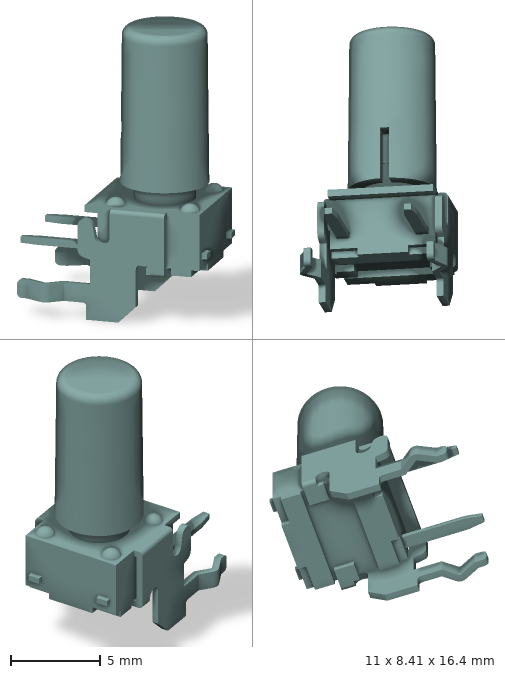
import cadquery as cq
import math


body_half = 3.0
body_bottom = 3.24
foot_bottom = 2.85
foot_inner_x = 1.33
foot_outer_x = 2.5
foot_tongue_half = 1.45

sheet = 0.4
cover_top = 6.5
cover_bottom = cover_top - sheet
cover_overhang = 0.77
wall_outer_y = 3.55
wall_inner_y = wall_outer_y - sheet
wall_left_x = -2.1
wall_right_x = 1.09
bend_radius = 0.23

leg_left_x = -3.49
leg_right_x = -0.58
leg_chamfer_x = 1.02
leg_chamfer_z = 0.99
neck_left_x = -3.27
neck_top_z = 3.52
finger_left_x = -4.0
finger_width = 0.89
finger_radius = 0.4
finger_top_z = 5.84
shoulder_radius = 0.45
shoulder_slope = math.radians(17)
notch_radius = 0.45
notch_bottom_z = 4.47
relief_radius = 0.43
relief_top_z = 3.54

arm_top_z = 2.04
arm_bottom_z = 0.99
arm_tip_x = -7.52
arm_tip_radius = 0.28
arm_root_radius = 0.2
arm_tip_bend = (-6.95, 3.7)
arm_peak = (-5.72, 4.3)
arm_start_x = -4.8
arm_peak_radius = 0.53

tab_left_x = -0.08
tab_inner_y = 2.15
tab_bottom = 2.81

bump_radius = 0.56
bump_height = 0.4
bump_offset = 2.19

pin_width = 0.7
pin_bottom = 3.83
pin_thickness = 0.35
pin_y = 2.25
pin_left_x = -7.7
pin_right_x = 3.3
pin_taper = 1.0
pin_tip_width = 0.41

stem_diameter = 3.5
stem_shoulder = 7.32
stem_fillet = 0.1
shaft_diameter = 3.29
shaft_top = 8.52
cap_diameter = 5.0
cap_top_diameter = 4.8
cap_bottom = stem_shoulder + stem_fillet
cap_top = 16.45
cap_fillet = 0.5
slot_width = 0.51
slot_top = 10.4
slot_back_x = -1.71
slot_top_radius = 0.55


def box(x0, x1, y0, y1, z0, z1):
    """Box between two limits on each axis."""
    return cq.Workplane("XY").box(x1 - x0, y1 - y0, z1 - z0, centered=False).translate((x0, y0, z0))


def symmetric_box(x0, x1, half_y, z0, z1):
    """Box centred on the XZ plane."""
    return box(x0, x1, -half_y, half_y, z0, z1)


def offset_path(points, distance):
    """Path parallel to an open path, on its left side, with mitred corners."""
    angles = [math.atan2(b[1] - a[1], b[0] - a[0]) for a, b in zip(points, points[1:])]
    before = angles[:1] + angles
    after = angles + angles[-1:]
    moved = []
    for (x, y), first, second in zip(points, before, after):
        normal = (first + second) / 2 + math.pi / 2
        reach = distance / math.cos((second - first) / 2)
        moved.append((x + reach * math.cos(normal), y + reach * math.sin(normal)))
    return moved


def make_body():
    body = symmetric_box(-body_half, body_half, body_half, body_bottom, cover_bottom)
    for side in (0, 180):
        bar = symmetric_box(foot_inner_x, foot_outer_x, body_half, foot_bottom, body_bottom)
        tongue = symmetric_box(foot_outer_x, body_half, foot_tongue_half, foot_bottom, body_bottom)
        body = body.union(bar.union(tongue).rotate((0, 0, 0), (0, 0, 1), side))
    return body


def make_cover():
    cover = symmetric_box(-body_half - cover_overhang, body_half, body_half, cover_bottom, cover_top)
    dome_radius = (bump_radius**2 + bump_height**2) / (2 * bump_height)
    dome_z = cover_top + bump_height - dome_radius
    for x in (-bump_offset, bump_offset):
        for y in (-bump_offset, bump_offset):
            cover = cover.union(cq.Workplane("XY").sphere(dome_radius).translate((x, y, dome_z))
                                .intersect(box(x - bump_radius, x + bump_radius,
                                               y - bump_radius, y + bump_radius,
                                               cover_bottom, cover_top + bump_height)))
    return cover


def wall_outline():
    """Wall, leg and arm outline in the XZ plane, solid from Y = 0 to beyond the arm peak."""
    finger_right_x = finger_left_x + finger_width
    finger_z = finger_top_z - finger_radius
    notch_x = wall_left_x - notch_radius
    notch_z = notch_bottom_z + notch_radius
    relief_x = leg_right_x + relief_radius
    relief_z = relief_top_z - relief_radius

    shoulder_z = neck_top_z + (neck_left_x - finger_left_x) * math.tan(shoulder_slope)
    turn = math.pi / 2 - shoulder_slope
    shoulder_run = shoulder_radius * math.tan(turn / 2)
    shoulder_end = (finger_left_x + shoulder_run * math.cos(shoulder_slope),
                    shoulder_z - shoulder_run * math.sin(shoulder_slope))

    return (
        cq.Workplane("XZ")
        .moveTo(wall_left_x, cover_top)
        .lineTo(wall_left_x, notch_z)
        .threePointArc((notch_x, notch_bottom_z), (notch_x - notch_radius, notch_z))
        .lineTo(finger_right_x, finger_z)
        .tangentArcPoint((finger_right_x - finger_radius, finger_top_z), relative=False)
        .lineTo(finger_left_x + finger_radius, finger_top_z)
        .tangentArcPoint((finger_left_x, finger_z), relative=False)
        .lineTo(finger_left_x, shoulder_z + shoulder_run)
        .tangentArcPoint(shoulder_end, relative=False)
        .lineTo(neck_left_x, neck_top_z)
        .lineTo(neck_left_x, arm_top_z)
        .lineTo(arm_tip_x + arm_tip_radius, arm_top_z)
        .tangentArcPoint((arm_tip_x, arm_top_z - arm_tip_radius), relative=False)
        .lineTo(arm_tip_x, arm_bottom_z + arm_tip_radius)
        .tangentArcPoint((arm_tip_x + arm_tip_radius, arm_bottom_z), relative=False)
        .lineTo(leg_left_x - arm_root_radius, arm_bottom_z)
        .tangentArcPoint((leg_left_x, arm_bottom_z - arm_root_radius), relative=False)
        .lineTo(leg_left_x, 0)
        .lineTo(leg_right_x - leg_chamfer_x, 0)
        .lineTo(leg_right_x, leg_chamfer_z)
        .lineTo(leg_right_x, relief_z)
        .threePointArc((relief_x, relief_top_z), (relief_x + relief_radius, relief_z))
        .lineTo(relief_x + relief_radius, tab_bottom)
        .lineTo(wall_right_x, tab_bottom)
        .lineTo(wall_right_x, cover_top)
        .close()
        .extrude(-arm_peak[1])
    )


def wall_plan():
    """Plan of the sheet: straight along the wall, then bent out and back along the arm."""
    outer = [
        (wall_right_x, wall_outer_y),
        (arm_start_x, wall_outer_y),
        arm_peak,
        arm_tip_bend,
        (arm_tip_x, arm_tip_bend[1]),
    ]
    inner = offset_path(outer, sheet)
    sheet_plan = cq.Workplane("XY").polyline(outer + inner[::-1]).close().extrude(cover_top)

    middle_z = cover_top / 2
    outer_peak = cq.selectors.NearestToPointSelector((*arm_peak, middle_z))
    inner_peak = cq.selectors.NearestToPointSelector((*inner[outer.index(arm_peak)], middle_z))
    sheet_plan = sheet_plan.edges("|Z").edges(outer_peak).fillet(arm_peak_radius)
    return sheet_plan.edges("|Z").edges(inner_peak).fillet(arm_peak_radius - sheet)


def make_bracket_side():
    """Bracket half on the +Y side, with its folds to the cover and to the tab."""
    wall = wall_outline().intersect(wall_plan())
    top_fold = box(wall_left_x, wall_right_x, body_half, wall_outer_y, cover_bottom, cover_top)
    tab = box(tab_left_x, wall_right_x, tab_inner_y, wall_inner_y, tab_bottom, tab_bottom + sheet)
    side = wall.union(top_fold).union(tab)
    for z in (cover_top, tab_bottom):
        fold_edge = cq.selectors.NearestToPointSelector((wall_right_x, wall_outer_y, z))
        side = side.edges("|X").edges(fold_edge).fillet(bend_radius)
    return side


def make_pin(y):
    taper_x = pin_left_x + pin_taper
    outline = [
        (pin_right_x, pin_width / 2),
        (taper_x, pin_width / 2),
        (pin_left_x, pin_tip_width / 2),
        (pin_left_x, -pin_tip_width / 2),
        (taper_x, -pin_width / 2),
        (pin_right_x, -pin_width / 2),
    ]
    pin = cq.Workplane("XY").polyline(outline).close().extrude(pin_thickness)
    return pin.translate((0, y, pin_bottom))


def make_button():
    cap = (
        cq.Workplane("XZ")
        .moveTo(0, cap_bottom)
        .lineTo(cap_diameter / 2, cap_bottom)
        .lineTo(cap_top_diameter / 2, cap_top)
        .lineTo(0, cap_top)
        .close()
        .revolve(360, (0, 0, 0), (0, 1, 0))
        .faces(">Z").edges().fillet(cap_fillet)
    )
    slot = (
        cq.Workplane("XZ")
        .moveTo(-cap_diameter, cap_bottom)
        .lineTo(slot_back_x, cap_bottom)
        .lineTo(slot_back_x, slot_top - slot_top_radius)
        .tangentArcPoint((slot_back_x + slot_top_radius, slot_top), relative=False)
        .lineTo(-cap_diameter, slot_top)
        .close()
        .extrude(slot_width / 2, both=True)
    )
    slot = slot.union(symmetric_box(-cap_diameter, 0, slot_width / 2, cap_bottom, shaft_top))
    shaft_radius = shaft_diameter / 2
    stem = (
        cq.Workplane("XZ")
        .moveTo(0, cover_bottom)
        .lineTo(stem_diameter / 2, cover_bottom)
        .lineTo(stem_diameter / 2, stem_shoulder)
        .lineTo(shaft_radius + stem_fillet, stem_shoulder)
        .tangentArcPoint((shaft_radius, stem_shoulder + stem_fillet), relative=False)
        .lineTo(shaft_radius, shaft_top)
        .lineTo(0, shaft_top)
        .close()
        .revolve(360, (0, 0, 0), (0, 1, 0))
    )
    return cap.cut(slot).union(stem)


bracket_side = make_bracket_side()
result = make_body().union(make_cover())
result = result.union(bracket_side).union(bracket_side.mirror("XZ"))
for pin_side in (-1, 1):
    result = result.union(make_pin(pin_side * pin_y))
result = result.union(make_button())